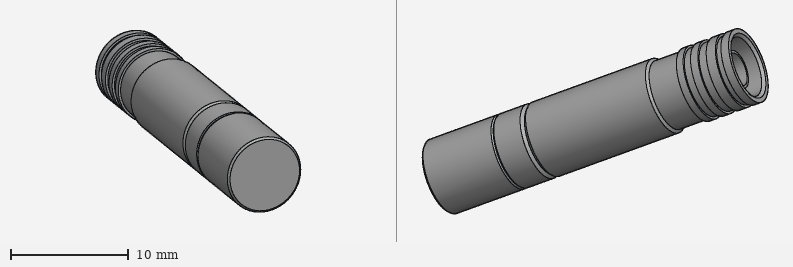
import cadquery as cq

length = 30.25
barrel_radius = 6.72 / 2
end_chamfer = 0.18

ring_radius = 6.62 / 2
neck_radius = 6.2 / 2
shoulder_start = 7.95
shoulder_length = 0.2
ring_spans = [(0.0, 0.75), (1.3, 2.2), (3.02, 3.75), (4.48, 5.15)]

wide_groove_center = 20.25
wide_groove_half_width = 0.27
wide_groove_depth = 0.257
narrow_groove_center = 23.23
narrow_groove_half_width = 0.135
narrow_groove_depth = 0.12

socket_radius = 5.32 / 2
socket_mouth_radius = 5.8 / 2
socket_chamfer_length = 0.27
socket_depth = shoulder_start
tube_radius = 3.4 / 2
tube_root_radius = 3.75 / 2
tube_flare_length = 0.9
tube_bore_radius = 2.93 / 2
tube_setback = 1.0


def cylinder(start, end, radius):
    """Solid cylinder on the X axis between two X positions."""
    return cq.Workplane("YZ", origin=(start, 0, 0)).circle(radius).extrude(end - start)


def revolve_about_x(points):
    """Solid of revolution from (x, radius) points."""
    return cq.Workplane("XY").polyline(points).close().revolve(360, (0, 0, 0), (1, 0, 0))


def v_groove(center, half_width, depth):
    """Ring-shaped cutter with a V section, opening at the barrel surface."""
    return revolve_about_x([
        (center - half_width, barrel_radius),
        (center, barrel_radius - depth),
        (center + half_width, barrel_radius),
    ])


def make_body():
    shoulder_end = shoulder_start + shoulder_length
    body = revolve_about_x([
        (0, 0),
        (0, neck_radius),
        (shoulder_start, neck_radius),
        (shoulder_end, barrel_radius),
        (length - end_chamfer, barrel_radius),
        (length, barrel_radius - end_chamfer),
        (length, 0),
    ])
    for start, end in ring_spans:
        body = body.union(cylinder(start, end, ring_radius))
    body = body.cut(v_groove(wide_groove_center, wide_groove_half_width, wide_groove_depth))
    return body.cut(v_groove(narrow_groove_center, narrow_groove_half_width, narrow_groove_depth))


def make_socket_cutter():
    return revolve_about_x([
        (0, 0),
        (0, socket_mouth_radius),
        (socket_chamfer_length, socket_radius),
        (socket_depth, socket_radius),
        (socket_depth, 0),
    ])


def make_contact_tube():
    return revolve_about_x([
        (tube_setback, tube_bore_radius),
        (tube_setback, tube_radius),
        (socket_depth - tube_flare_length, tube_radius),
        (socket_depth, tube_root_radius),
        (socket_depth, tube_bore_radius),
    ])


result = make_body().cut(make_socket_cutter()).union(make_contact_tube())